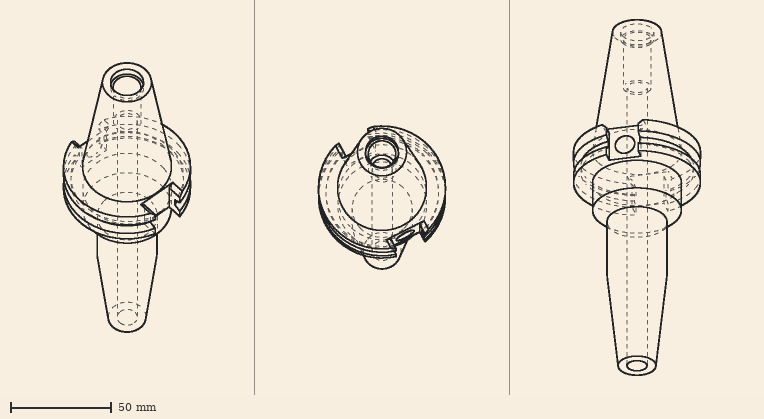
import cadquery as cq
import math

overall_length = 193.25
projection = 125.0
taper_length = overall_length - projection
gauge_diameter = 44.45
taper_ratio = 7 / 24
taper_end_diameter = gauge_diameter - taper_length * taper_ratio

flange_diameter = 63.5
flange_top = -1.0
flange_bottom = -19.05
groove_floor_diameter = 56.3
groove_floor_width = 3.75
groove_middle = -11.1
groove_wall_angle = 24.0

slot_width = 16.36
slot_chamfer = 2.4
slot_floor_minus_x = 25.0
slot_floor_plus_x = 22.6

recess_diameter = 10.0
recess_depth = 0.1

collar_diameter = gauge_diameter
collar_length = 16.0
shank_diameter = 30.0
shoulder_height = 6.6
nose_length = 52.0
nose_diameter = 19.0

counterbore_diameter = 16.5
counterbore_depth = 4.0
thread_core_diameter = 13.8
thread_core_depth = 32.0
through_diameter = 10.0


def make_body():
    """Revolve the outer profile, from the nose up to the small end of the taper."""
    collar_bottom = flange_bottom - collar_length
    shoulder_bottom = collar_bottom - shoulder_height
    flange_radius = flange_diameter / 2
    floor_radius = groove_floor_diameter / 2
    floor_half = groove_floor_width / 2
    mouth_half = floor_half + (flange_radius - floor_radius) * math.tan(math.radians(groove_wall_angle))
    profile = [
        (0, -projection),
        (nose_diameter / 2, -projection),
        (shank_diameter / 2, nose_length - projection),
        (shank_diameter / 2, shoulder_bottom),
        (collar_diameter / 2, collar_bottom),
        (collar_diameter / 2, flange_bottom),
        (flange_radius, flange_bottom),
        (flange_radius, groove_middle - mouth_half),
        (floor_radius, groove_middle - floor_half),
        (floor_radius, groove_middle + floor_half),
        (flange_radius, groove_middle + mouth_half),
        (flange_radius, flange_top),
        (gauge_diameter / 2, flange_top),
        (gauge_diameter / 2, 0),
        (taper_end_diameter / 2, taper_length),
        (0, taper_length),
    ]
    return cq.Workplane("XZ").polyline(profile).close().revolve(360, (0, 0, 0), (0, 1, 0))


def make_slot(side, floor_distance):
    """Cutter for one drive slot; side is +1 for +X and -1 for -X."""
    half_width = slot_width / 2
    outline = [
        (-half_width, flange_bottom),
        (half_width, flange_bottom),
        (half_width, flange_top - slot_chamfer),
        (half_width + slot_chamfer, flange_top),
        (-half_width - slot_chamfer, flange_top),
        (-half_width, flange_top - slot_chamfer),
    ]
    start = side * floor_distance
    return cq.Workplane("YZ", origin=(start, 0, 0)).polyline(outline).close().extrude(side * flange_diameter / 2)


def make_recess():
    """Cutter for the round recess in the slot floor on the -X side."""
    floor_plane = cq.Workplane("YZ", origin=(-slot_floor_minus_x, 0, groove_middle))
    return floor_plane.circle(recess_diameter / 2).extrude(recess_depth)


def make_bore():
    """Cutter for the stepped bore, widest at the spindle end."""
    top = cq.Workplane("XY", origin=(0, 0, taper_length))
    through = top.circle(through_diameter / 2).extrude(-overall_length)
    thread_core = top.circle(thread_core_diameter / 2).extrude(-thread_core_depth)
    counterbore = top.circle(counterbore_diameter / 2).extrude(-counterbore_depth)
    return through.union(thread_core).union(counterbore)


result = (
    make_body()
    .cut(make_slot(-1, slot_floor_minus_x))
    .cut(make_slot(1, slot_floor_plus_x))
    .cut(make_recess())
    .cut(make_bore())
)